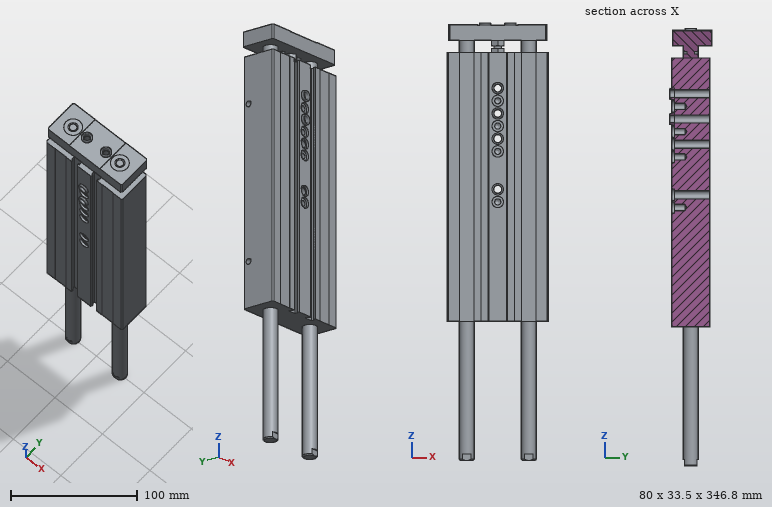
import cadquery as cq
import math

OVERALL_HEIGHT = 346.8
OVERALL_DEPTH = 33.5

HOUSING_WIDTH = 80.0
HOUSING_DEPTH = 30.0
HOUSING_HEIGHT = 213.3
HOUSING_CHAMFER = 1.0

ROD_DIAMETER = 12.0
ROD_SPACING = 49.2
ROD_CHAMFER = 1.0
ROD_BELOW_HOUSING = 110.3
ROD_FLAT_WIDTH = 10.0
ROD_FLAT_LENGTH = 5.2
ROD_HEAD_DIAMETER = 15.0
ROD_HEAD_HEIGHT = 4.0
SOCKET_TOP_DIAMETER = 8.0
SOCKET_FLOOR_DIAMETER = 6.0
SOCKET_DEPTH = 0.5

PLATE_WIDTH = 78.0
PLATE_DEPTH = 31.2
PLATE_THICKNESS = 12.5
PLATE_CHAMFER = 1.0
PLATE_CHANNEL_WIDTH = 32.3
PLATE_CHANNEL_DEPTH = 0.5

SLEEVE_DIAMETER = 9.0
SLEEVE_BORE = 6.0
PLATE_SLEEVE_PROUD = 1.5
HOUSING_SLEEVE_PROUD = 1.7
SEAT_DEPTH = 2.0
SLEEVE_RIM_RADIUS = 0.52

HOLE_ROW_LENGTH = 90.0
HOLE_ROW_STEPS = 9
FIRST_HOLE_BELOW_TOP = 28.5
THROUGH_HOLE_DIAMETER = 6.2
THREAD_HOLE_DIAMETER = 5.0
THREAD_HOLE_DEPTH = 10.5
DRILL_POINT_ANGLE = 118.0
THROUGH_HOLE_STEPS = (0, 2, 4, 8)
THREAD_HOLE_STEPS = (1, 3, 5, 9)
SLEEVE_STEPS = (0, 2)

SLOT_INNER_EDGE = 7.5
SLOT_OUTER_EDGE = 13.2
SLOT_DEPTH = 5.0
SLOT_LEAD_IN = 0.7
SLOT_LIP = 2.0
SLOT_UNDERCUT = 1.0

CHANNEL_WIDTH = 11.5
CHANNEL_DEPTH = 0.17

BEARING_DIAMETER = 15.0
BEARING_RECESS_DEPTH = 0.7

PORT_DIAMETER = 5.0
PORT_DEPTH = 7.0
PORT_FROM_BACK = 5.2
PORT_FROM_TOP = 40.5
PORT_SPACING = 133.5

HEX_ACROSS_FLATS = 10.0
HEX_CHAMFER_WIDTH = 1.0
HEX_CHAMFER_HEIGHT = 0.52
STOP_NUT_HEIGHT = 4.5
STOP_SHANK_DIAMETER = 6.2
STOP_SHANK_HEIGHT = 1.7

housing_bottom = ROD_BELOW_HOUSING
housing_top = housing_bottom + HOUSING_HEIGHT
plate_top = OVERALL_HEIGHT - PLATE_SLEEVE_PROUD
plate_bottom = plate_top - PLATE_THICKNESS
housing_front = -HOUSING_DEPTH / 2
plate_back = OVERALL_DEPTH + housing_front - HOUSING_SLEEVE_PROUD
plate_y = plate_back - PLATE_DEPTH / 2
axis_y = 0.0
hole_pitch = HOLE_ROW_LENGTH / HOLE_ROW_STEPS
first_hole_z = housing_top - FIRST_HOLE_BELOW_TOP


def hole_z(step):
    """Height of a front hole, counted in pitches down from the first."""
    return first_hole_z - step * hole_pitch


def cylinder(diameter, length, start, direction):
    """Solid cylinder from a start point along a direction."""
    solid = cq.Solid.makeCylinder(diameter / 2, length, cq.Vector(*start), cq.Vector(*direction))
    return cq.Workplane(solid)


def drilled_hole(diameter, depth, start, direction):
    """Blind hole tool with a conical drill point."""
    tip_length = diameter / 2 / math.tan(math.radians(DRILL_POINT_ANGLE / 2))
    axis = cq.Vector(*direction)
    tip_start = cq.Vector(*start) + axis * depth
    tip = cq.Solid.makeCone(diameter / 2, 0, tip_length, tip_start, axis)
    return cylinder(diameter, depth, start, direction).union(cq.Workplane(tip))


def slot_cutter(side):
    """Undercut sensor slot along Z; side is -1 or +1."""
    front = housing_front
    lip = front + SLOT_LIP
    floor = front + SLOT_DEPTH
    outline = [
        (SLOT_INNER_EDGE - SLOT_LEAD_IN, front),
        (SLOT_INNER_EDGE, front + SLOT_LEAD_IN),
        (SLOT_INNER_EDGE, lip),
        (SLOT_INNER_EDGE - SLOT_UNDERCUT, lip),
        (SLOT_INNER_EDGE - SLOT_UNDERCUT, floor),
        (SLOT_OUTER_EDGE + SLOT_UNDERCUT, floor),
        (SLOT_OUTER_EDGE + SLOT_UNDERCUT, lip),
        (SLOT_OUTER_EDGE, lip),
        (SLOT_OUTER_EDGE, front),
    ]
    mirrored = [(side * x, y) for x, y in outline]
    base = cq.Workplane("XY").workplane(offset=housing_bottom)
    return base.polyline(mirrored).close().extrude(HOUSING_HEIGHT)


def make_housing():
    """Extruded housing with slots, rod bores, front holes and ports."""
    body = (
        cq.Workplane("XY")
        .workplane(offset=housing_bottom)
        .rect(HOUSING_WIDTH, HOUSING_DEPTH)
        .extrude(HOUSING_HEIGHT)
        .edges("|Z")
        .chamfer(HOUSING_CHAMFER)
    )
    for side in (-1, 1):
        rod_x = side * ROD_SPACING / 2
        channel = (
            cq.Workplane("XY")
            .workplane(offset=housing_bottom)
            .center(rod_x, housing_front)
            .rect(CHANNEL_WIDTH, 2 * CHANNEL_DEPTH)
            .extrude(HOUSING_HEIGHT)
        )
        body = body.cut(slot_cutter(side)).cut(channel)
        rod_mouth = (rod_x, axis_y, housing_top)
        body = body.cut(cylinder(ROD_DIAMETER, HOUSING_HEIGHT, rod_mouth, (0, 0, -1)))
        body = body.cut(cylinder(BEARING_DIAMETER, BEARING_RECESS_DEPTH, rod_mouth, (0, 0, -1)))
    return cut_ports(cut_front_holes(body))


def cut_front_holes(body):
    """Row of counterbored holes: some pass through, the others are blind thread holes."""
    into_front = (0, 1, 0)
    for step in THROUGH_HOLE_STEPS:
        mouth = (0, housing_front, hole_z(step))
        body = body.cut(cylinder(SLEEVE_DIAMETER, SEAT_DEPTH, mouth, into_front))
        body = body.cut(cylinder(THROUGH_HOLE_DIAMETER, HOUSING_DEPTH, mouth, into_front))
    for step in THREAD_HOLE_STEPS:
        mouth = (0, housing_front, hole_z(step))
        body = body.cut(cylinder(SLEEVE_DIAMETER, SEAT_DEPTH, mouth, into_front))
        body = body.cut(drilled_hole(THREAD_HOLE_DIAMETER, THREAD_HOLE_DEPTH, mouth, into_front))
    return body


def cut_ports(body):
    """Two blind air ports in the -X side."""
    port_y = HOUSING_DEPTH / 2 - PORT_FROM_BACK
    for drop in (PORT_FROM_TOP, PORT_FROM_TOP + PORT_SPACING):
        mouth = (-HOUSING_WIDTH / 2, port_y, housing_top - drop)
        body = body.cut(drilled_hole(PORT_DIAMETER, PORT_DEPTH, mouth, (1, 0, 0)))
    return body


def make_stop():
    """Hexagon nut, shank and hexagon foot, stacked from the plate down to the housing."""
    corner_diameter = HEX_ACROSS_FLATS / math.cos(math.pi / 6)
    shank_top = plate_bottom - STOP_NUT_HEIGHT
    shank_bottom = shank_top - STOP_SHANK_HEIGHT

    def hexagon(bottom, top):
        return (
            cq.Workplane("XY")
            .workplane(offset=bottom)
            .center(0, axis_y)
            .transformed(rotate=(0, 0, 90))
            .polygon(6, corner_diameter)
            .extrude(top - bottom)
        )

    rounding = (
        cq.Workplane("XY")
        .workplane(offset=shank_top)
        .center(0, axis_y)
        .circle(corner_diameter / 2)
        .extrude(STOP_NUT_HEIGHT)
        .faces("<Z")
        .chamfer(HEX_CHAMFER_HEIGHT, HEX_CHAMFER_WIDTH)
    )
    nut = hexagon(shank_top, plate_bottom).intersect(rounding)
    shank = cylinder(STOP_SHANK_DIAMETER, STOP_SHANK_HEIGHT, (0, axis_y, shank_bottom), (0, 0, 1))
    return nut.union(shank).union(hexagon(housing_top, shank_bottom))


def make_plate():
    """End plate in one piece with its stop screw."""
    body = (
        cq.Workplane("XY")
        .workplane(offset=plate_bottom)
        .center(0, plate_y)
        .rect(PLATE_WIDTH, PLATE_DEPTH)
        .extrude(PLATE_THICKNESS)
        .edges("|Z")
        .chamfer(PLATE_CHAMFER)
    )
    down = (0, 0, -1)
    for side in (-1, 1):
        rod_x = side * ROD_SPACING / 2
        body = body.cut(cylinder(ROD_DIAMETER, PLATE_THICKNESS, (rod_x, axis_y, plate_top), down))
        body = body.cut(cylinder(ROD_HEAD_DIAMETER, ROD_HEAD_HEIGHT, (rod_x, axis_y, plate_top), down))
        mouth = (side * hole_pitch, axis_y, plate_top)
        body = body.cut(cylinder(SLEEVE_DIAMETER, SEAT_DEPTH, mouth, down))
        body = body.cut(cylinder(THREAD_HOLE_DIAMETER, PLATE_THICKNESS, mouth, down))
    channel = (
        cq.Workplane("XY")
        .workplane(offset=plate_top - PLATE_CHANNEL_DEPTH)
        .center(0, plate_y)
        .rect(PLATE_CHANNEL_WIDTH, PLATE_DEPTH)
        .extrude(PLATE_CHANNEL_DEPTH)
    )
    return body.cut(channel).union(make_stop())


def make_rod(side):
    """Guide rod with end flats and a socketed head flush in the plate; side is -1 or +1."""
    rod_x = side * ROD_SPACING / 2
    rod = cylinder(ROD_DIAMETER, plate_top, (rod_x, axis_y, 0), (0, 0, 1)).faces("<Z").chamfer(ROD_CHAMFER)
    for flat_side in (-1, 1):
        flat = (
            cq.Workplane("XY")
            .center(rod_x, axis_y + flat_side * (ROD_FLAT_WIDTH + ROD_DIAMETER) / 2)
            .rect(ROD_DIAMETER, ROD_DIAMETER)
            .extrude(ROD_FLAT_LENGTH)
        )
        rod = rod.cut(flat)
    head = cylinder(ROD_HEAD_DIAMETER, ROD_HEAD_HEIGHT, (rod_x, axis_y, plate_top), (0, 0, -1))
    socket = cq.Solid.makeCone(
        SOCKET_TOP_DIAMETER / 2,
        SOCKET_FLOOR_DIAMETER / 2,
        SOCKET_DEPTH,
        cq.Vector(rod_x, axis_y, plate_top),
        cq.Vector(0, 0, -1),
    )
    return rod.union(head).cut(cq.Workplane(socket))


def make_sleeve(seat, outward, proud):
    """Centring sleeve rising from the floor of its seat."""
    length = SEAT_DEPTH + proud
    sleeve = cylinder(SLEEVE_DIAMETER, length, seat, outward)
    sleeve = sleeve.cut(cylinder(SLEEVE_BORE, length, seat, outward))
    end = ">Z" if outward[2] else "<Y"
    return sleeve.faces(end).edges().fillet(SLEEVE_RIM_RADIUS)


housing = make_housing()
plate = make_plate()
rods = [make_rod(side) for side in (-1, 1)]
plate_sleeves = [
    make_sleeve((side * hole_pitch, axis_y, plate_top - SEAT_DEPTH), (0, 0, 1), PLATE_SLEEVE_PROUD)
    for side in (-1, 1)
]
housing_sleeves = [
    make_sleeve((0, housing_front + SEAT_DEPTH, hole_z(step)), (0, -1, 0), HOUSING_SLEEVE_PROUD)
    for step in SLEEVE_STEPS
]

sleeves = plate_sleeves + housing_sleeves
result = cq.Compound.makeCompound(
    [housing.val(), plate.val(), *[rod.val() for rod in rods], *[sleeve.val() for sleeve in sleeves]]
)